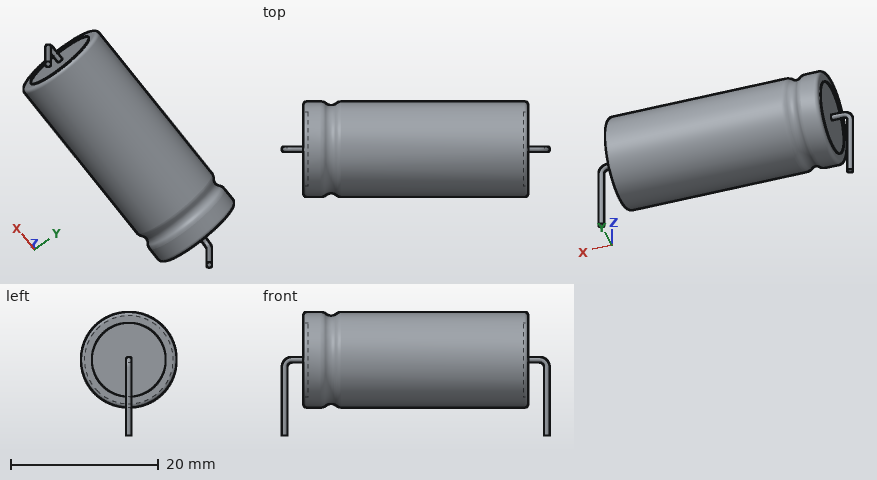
import cadquery as cq
import math

overall_length = 36.35
can_length = 30.5
can_diameter = 13.0
rim_fillet = 0.5

groove_offset = 3.78
groove_half_width = 1.38
groove_depth = 0.5
groove_lip_radius = 1.0

disc_diameter = 10.05
disc_thickness = 0.5
disc_recess = 0.1

lead_diameter = 0.8
lead_bend_radius = 1.0
lead_bottom = -10.3

can_radius = can_diameter / 2
can_end = can_length / 2
disc_outer_face = can_end - disc_recess
disc_inner_face = disc_outer_face - disc_thickness
lead_x = (overall_length - lead_diameter) / 2


def groove_profile(profile):
    """Continue the can outline through three mutually tangent arcs."""
    radius_sum = (groove_half_width**2 + groove_depth**2) / (2 * groove_depth)
    floor_radius = radius_sum - groove_lip_radius
    sweep = math.asin(groove_half_width / radius_sum)
    center_x = groove_offset - can_end
    start_x = center_x - groove_half_width
    end_x = center_x + groove_half_width

    def lip_point(angle):
        along = groove_lip_radius * math.sin(angle)
        drop = groove_lip_radius * (1 - math.cos(angle))
        return along, can_radius - drop

    lip_mid_x, lip_mid_r = lip_point(sweep / 2)
    lip_end_x, lip_end_r = lip_point(sweep)
    return (
        profile.lineTo(start_x, can_radius)
        .threePointArc((start_x + lip_mid_x, lip_mid_r), (start_x + lip_end_x, lip_end_r))
        .threePointArc((center_x, can_radius - groove_depth), (end_x - lip_end_x, lip_end_r))
        .threePointArc((end_x - lip_mid_x, lip_mid_r), (end_x, can_radius))
    )


def make_disc(side):
    """End disc on the -X (side = -1) or +X (side = 1) end."""
    return (
        cq.Workplane("YZ", origin=(side * disc_inner_face, 0, 0))
        .circle(disc_diameter / 2)
        .extrude(side * disc_thickness)
    )


def make_can():
    """Grooved round can with a shallow disc seat in each end."""
    profile = cq.Workplane("XY").moveTo(-can_end, 0).lineTo(-can_end, can_radius)
    profile = groove_profile(profile)
    profile = profile.lineTo(can_end, can_radius).lineTo(can_end, 0).close()
    can = profile.revolve(360, (0, 0, 0), (1, 0, 0))
    can = can.faces("<X or >X").edges().fillet(rim_fillet)
    for side in (-1, 1):
        seat = (
            cq.Workplane("YZ", origin=(side * disc_inner_face, 0, 0))
            .circle(disc_diameter / 2)
            .extrude(side * (disc_thickness + disc_recess))
        )
        can = can.cut(seat)
    return can


def make_lead(side):
    """Wire from a disc's centre, bent downward through a quarter turn."""
    bend_start = lead_x - lead_bend_radius
    bend_mid_x = bend_start + lead_bend_radius * math.sin(math.pi / 4)
    bend_mid_z = -lead_bend_radius * (1 - math.cos(math.pi / 4))
    path = (
        cq.Workplane("XZ")
        .moveTo(side * disc_outer_face, 0)
        .lineTo(side * bend_start, 0)
        .threePointArc((side * bend_mid_x, bend_mid_z), (side * lead_x, -lead_bend_radius))
        .lineTo(side * lead_x, lead_bottom)
    )
    section = cq.Workplane("YZ", origin=(side * disc_outer_face, 0, 0)).circle(lead_diameter / 2)
    return section.sweep(path)


can = make_can()
discs = [make_disc(side) for side in (-1, 1)]
leads = [make_lead(side) for side in (-1, 1)]

result = cq.Compound.makeCompound([can.val(), *[body.val() for body in discs + leads]])